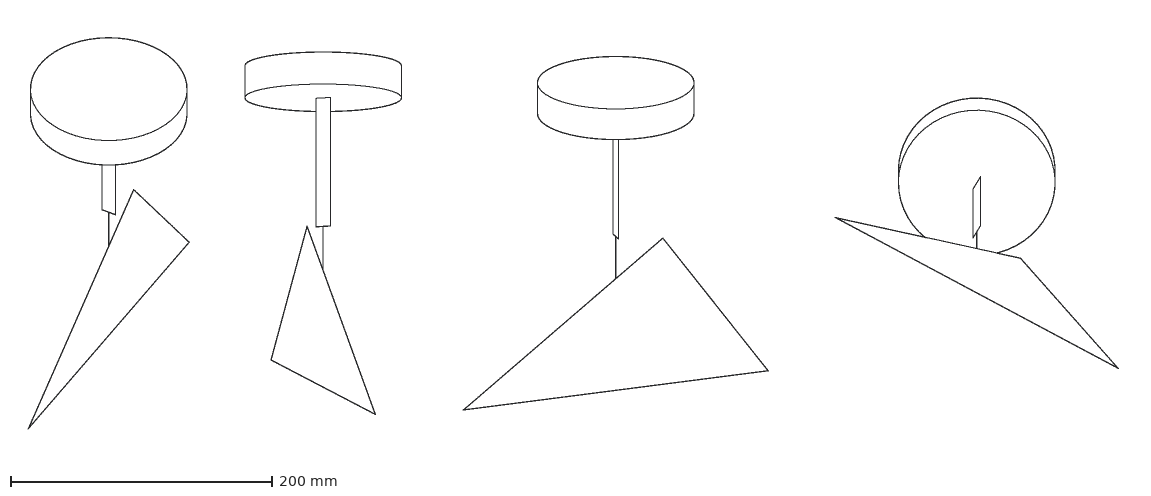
import cadquery as cq
import math

total_height = 250.0
canopy_diameter = 120.0
canopy_thickness = 25.0
canopy_bottom = total_height - canopy_thickness

strip_width = 12.0
strip_length = 100.0
strip_bottom = canopy_bottom - strip_length

panel_radius = 125.0
apex_angle = math.radians(72.0)
apex_y = panel_radius * math.cos(apex_angle)
apex_z = panel_radius * math.sin(apex_angle)

sheet_thickness = 0.02

wire_diameter = 0.01
wire_overlap = 1.0


def make_canopy():
    """Round disc at the top."""
    return (
        cq.Workplane("XY", origin=(0, 0, canopy_bottom))
        .circle(canopy_diameter / 2)
        .extrude(canopy_thickness)
    )


def make_strip():
    """Thin strip facing Y, from the canopy downward."""
    return (
        cq.Workplane("XY", origin=(0, 0, strip_bottom))
        .rect(strip_width, sheet_thickness)
        .extrude(strip_length)
    )


def make_panel():
    """Thin triangle in the YZ plane, centred on X = 0."""
    return (
        cq.Workplane("YZ", origin=(-sheet_thickness / 2, 0, 0))
        .moveTo(-panel_radius, 0)
        .lineTo(panel_radius, 0)
        .lineTo(apex_y, apex_z)
        .close()
        .extrude(sheet_thickness)
    )


def make_wire():
    """Round wire from inside the panel's long sloping edge up into the strip."""
    panel_top_at_centre = panel_radius * apex_z / (panel_radius + apex_y)
    wire_bottom = panel_top_at_centre - wire_overlap
    wire_top = strip_bottom + wire_overlap
    return (
        cq.Workplane("XY", origin=(0, 0, wire_bottom))
        .circle(wire_diameter / 2)
        .extrude(wire_top - wire_bottom)
    )


result = make_canopy().union(make_strip()).union(make_wire()).union(make_panel())